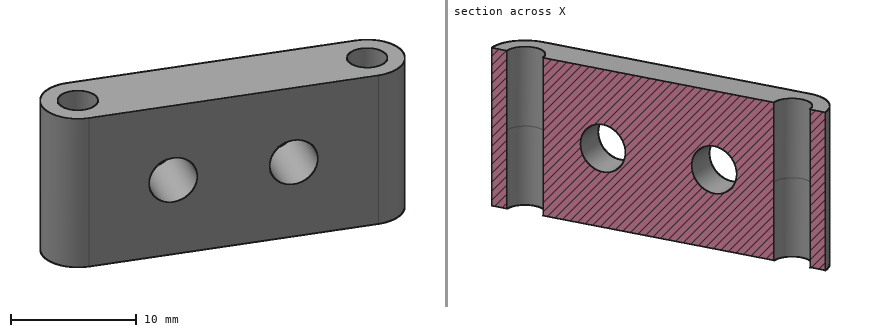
import cadquery as cq

length = 30.0
width = 6.0
height = 13.5
end_hole_diameter = 3.2
cross_hole_diameter = 4.0
cross_hole_spacing = length / 3

end_hole_spacing = length - width


def make_body():
    """Bar with fully rounded ends, long along Y and centred on the origin."""
    return cq.Workplane("XY").slot2D(length, width, 90).extrude(height / 2, both=True)


def make_end_holes():
    """Upright through-hole cutters, one at each rounded end."""
    return (
        cq.Workplane("XY")
        .rarray(0.3, end_hole_spacing, 1, 2)
        .circle(end_hole_diameter / 2)
        .extrude(height, both=True)
    )


def make_cross_holes():
    """Cutters through the flat sides along X, at mid-height."""
    return (
        cq.Workplane("YZ")
        .rarray(cross_hole_spacing, 0.3, 2, 1)
        .circle(cross_hole_diameter / 2)
        .extrude(width, both=True)
    )


result = make_body().cut(make_end_holes()).cut(make_cross_holes())